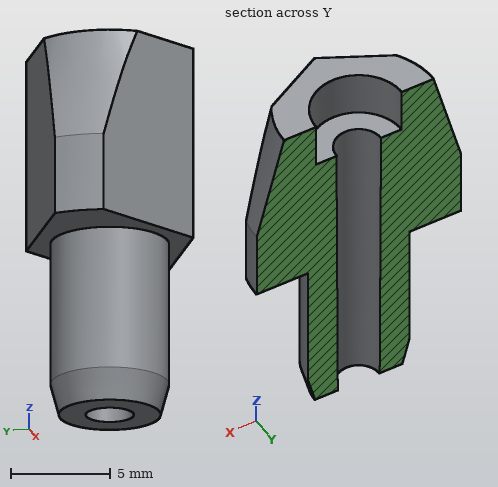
import cadquery as cq
import math

total_height = 19.0
head_height = 10.0
head_base = total_height - head_height

head_radius = 6.0
rhombus_half_width = 4.37
flank_angle = 27.8
straight_height = 4.0
taper_angle = 15.0

shank_radius = 3.0
tip_height = 1.6

counterbore_radius = 2.5
counterbore_depth = 2.6
bore_top_radius = 1.3
bore_bottom_radius = 1.22

taper_slope = math.tan(math.radians(taper_angle))


def make_head():
    """Intersect a rhombic prism with a turned, tapered blank."""
    half_length = rhombus_half_width / math.tan(math.radians(flank_angle))
    prism = (
        cq.Workplane("XY", origin=(0, 0, head_base))
        .polyline([
            (half_length, 0),
            (0, rhombus_half_width),
            (-half_length, 0),
            (0, -rhombus_half_width),
        ])
        .close()
        .extrude(head_height)
    )
    taper_start = head_base + straight_height
    top_radius = head_radius - (total_height - taper_start) * taper_slope
    blank = (
        cq.Workplane("XZ")
        .moveTo(0, head_base)
        .lineTo(head_radius, head_base)
        .lineTo(head_radius, taper_start)
        .lineTo(top_radius, total_height)
        .lineTo(0, total_height)
        .close()
        .revolve(360, (0, 0, 0), (0, 1, 0))
    )
    return prism.intersect(blank)


def make_shank():
    """Turn the round shank with its conical tip."""
    tip_radius = shank_radius - tip_height * taper_slope
    return (
        cq.Workplane("XZ")
        .lineTo(tip_radius, 0)
        .lineTo(shank_radius, tip_height)
        .lineTo(shank_radius, head_base)
        .lineTo(0, head_base)
        .close()
        .revolve(360, (0, 0, 0), (0, 1, 0))
    )


def make_bore():
    """Turn the counterbore and the slightly tapered through bore below it."""
    floor = total_height - counterbore_depth
    return (
        cq.Workplane("XZ")
        .lineTo(bore_bottom_radius, 0)
        .lineTo(bore_top_radius, floor)
        .lineTo(counterbore_radius, floor)
        .lineTo(counterbore_radius, total_height)
        .lineTo(0, total_height)
        .close()
        .revolve(360, (0, 0, 0), (0, 1, 0))
    )


result = make_head().union(make_shank()).cut(make_bore())